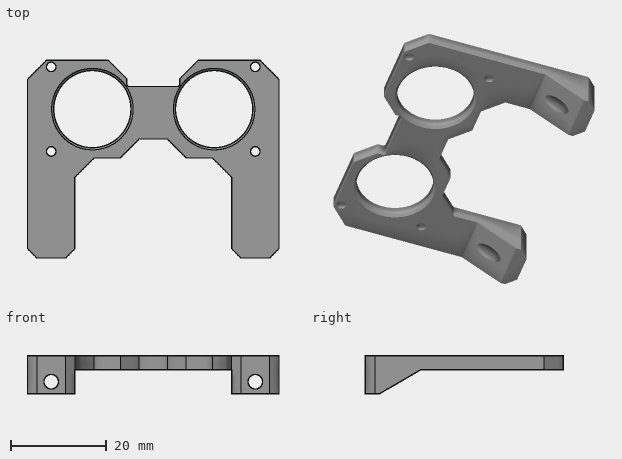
import cadquery as cq

width = 52.7
depth = 41.5
height = 8.0
plate_thickness = 3.0
plate_bottom = height - plate_thickness

half_width = width / 2
corner_chamfer = 4.0
ring_inner_side = 20.8
ring_inner_chamfer = 3.9
bridge_rear = 5.5
bridge_front = 16.55
notch_corner = 0.3
ring_front = 20.5
ring_front_end = 19.45
bridge_chamfer = ring_front - bridge_front

leg_width = 9.95
leg_chamfer = 4.0
foot_chamfer = 2.0
foot_length = 3.0
foot_slope_start = 11.6

lens_x = 13.6
lens_y = ring_front / 2
lens_diameter = 16.1
lens_chamfer = 0.5

screw_diameter = 1.95
screw_x = leg_width / 2
screw_offset_y = 8.85
foot_hole_diameter = 3.0
foot_hole_height = 2.55


def mirrored_x(distance_from_left):
    """X positions at the same distance from the left and right edges."""
    x = distance_from_left - half_width
    return (x, -x)


def frame_blank():
    """Full-height block with the outline of the frame."""
    left_half = [
        (ring_inner_side + notch_corner, bridge_rear),
        (ring_inner_side, bridge_rear - notch_corner),
        (ring_inner_side, ring_inner_chamfer),
        (ring_inner_side - ring_inner_chamfer, 0),
        (corner_chamfer, 0),
        (0, corner_chamfer),
        (0, depth - foot_chamfer),
        (foot_chamfer, depth),
        (leg_width - foot_chamfer, depth),
        (leg_width, depth - foot_chamfer),
        (leg_width, ring_front + leg_chamfer),
        (leg_width + leg_chamfer, ring_front),
        (ring_front_end, ring_front),
        (ring_front_end + bridge_chamfer, bridge_front),
    ]
    left = [(x - half_width, -y) for x, y in left_half]
    right = [(-x, y) for x, y in reversed(left)]
    return cq.Workplane("XY").polyline(left + right).close().extrude(height)


def side_profile():
    """Thin plate with feet that slope down at the front, across the full width."""
    points = [
        (0, height),
        (0, plate_bottom),
        (foot_slope_start - depth, plate_bottom),
        (foot_length - depth, 0),
        (-depth, 0),
        (-depth, height),
    ]
    profile = cq.Workplane("YZ").polyline(points).close()
    return profile.extrude(half_width, both=True)


def lens_openings():
    """Two through bores, each chamfered at the top and bottom faces."""
    centres = [(x, -lens_y) for x in mirrored_x(lens_x)]
    bores = cq.Workplane("XY").pushPoints(centres).circle(lens_diameter / 2).extrude(height)
    top_chamfers = (
        cq.Workplane("XY", origin=(0, 0, height - lens_chamfer))
        .pushPoints(centres)
        .circle(lens_diameter / 2)
        .extrude(lens_chamfer, taper=-45)
    )
    middle_height = plate_bottom + plate_thickness / 2
    bottom_chamfers = top_chamfers.mirror("XY", (0, 0, middle_height))
    return bores.union(top_chamfers).union(bottom_chamfers)


def screw_holes():
    """Vertical through holes, in front of and behind each lens."""
    centres = [
        (x, -lens_y + offset)
        for x in mirrored_x(screw_x)
        for offset in (-screw_offset_y, screw_offset_y)
    ]
    return cq.Workplane("XY").pushPoints(centres).circle(screw_diameter / 2).extrude(height)


def foot_holes():
    """Horizontal holes along Y, out through the sloped backs of the feet."""
    centres = [(x, foot_hole_height) for x in mirrored_x(leg_width / 2)]
    return (
        cq.Workplane("XZ")
        .pushPoints(centres)
        .circle(foot_hole_diameter / 2)
        .extrude(depth)
    )


result = (
    frame_blank()
    .intersect(side_profile())
    .cut(lens_openings())
    .cut(screw_holes())
    .cut(foot_holes())
)